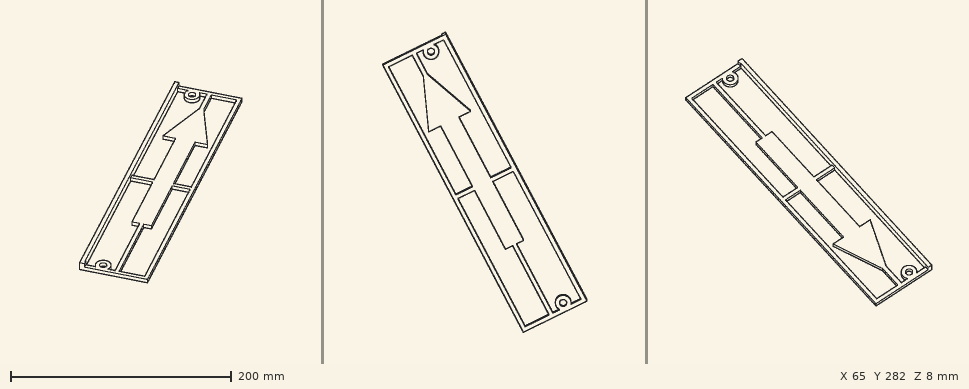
import cadquery as cq

width = 65.0
length = 282.0
height = 8.0
plate_thickness = 4.0
bar_width = 4.0
tip_strut_width = 4.2
lip_width = 4.8
left_lean = 0.7

arrow_x = 34.7
shaft_width = 18.5
shaft_bottom_y = -64.0
head_width = 43.0
head_base_y = 66.0
head_tip_y = 120.0

eye_diameter = 14.5
eye_hole_diameter = 6.5
eye_x = 20.0
top_eye_y = 132.3
bottom_eye_y = -132.8


def block(x_min, x_max, y_min, y_max):
    """Box as thick as the plate between the given X and Y limits."""
    size_x = x_max - x_min
    size_y = y_max - y_min
    return cq.Workplane("XY").box(size_x, size_y, plate_thickness, centered=False).translate((x_min, y_min, 0))


def slab(corners, thickness):
    """Polygon drawn on Z = 0 and raised to the given thickness."""
    return cq.Workplane("XY").polyline(corners).close().extrude(thickness)


def make_frame():
    """Plate and raised lip with one large window cut through both."""
    end_y = length / 2
    window_y = end_y - bar_width
    window_right = width - bar_width
    plate = slab([(0, -end_y), (width, -end_y), (width, end_y), (left_lean, end_y)], plate_thickness)
    lip = slab([(0, -end_y), (lip_width, -end_y), (lip_width, end_y), (left_lean, end_y)], height)
    window = slab(
        [
            (lip_width - left_lean, -window_y),
            (window_right, -window_y),
            (window_right, window_y),
            (lip_width, window_y),
        ],
        height,
    )
    return plate.union(lip).cut(window)


def make_struts():
    """Bars that tie the arrow's tip, tail and middle to the frame."""
    half_bar = bar_width / 2
    half_tip = tip_strut_width / 2
    bar_center_y = length / 2 - half_bar
    tip_strut = block(arrow_x - half_tip, arrow_x + half_tip, head_base_y, bar_center_y)
    tail_strut = block(arrow_x - half_bar, arrow_x + half_bar, -bar_center_y, shaft_bottom_y)
    cross_strut = block(lip_width / 2, width - half_bar, -half_bar, half_bar)
    return tip_strut.union(tail_strut).union(cross_strut)


def make_arrow():
    """Rectangular shaft with a triangular head."""
    half_shaft = shaft_width / 2
    half_head = head_width / 2
    outline = [
        (arrow_x - half_shaft, shaft_bottom_y),
        (arrow_x + half_shaft, shaft_bottom_y),
        (arrow_x + half_shaft, head_base_y),
        (arrow_x + half_head, head_base_y),
        (arrow_x, head_tip_y),
        (arrow_x - half_head, head_base_y),
        (arrow_x - half_shaft, head_base_y),
    ]
    return slab(outline, plate_thickness)


def eye_discs(diameter):
    """Disc at each eye position, as thick as the plate."""
    centers = [(eye_x, bottom_eye_y), (eye_x, top_eye_y)]
    return cq.Workplane("XY").pushPoints(centers).circle(diameter / 2).extrude(plate_thickness)


result = (
    make_frame()
    .union(make_struts())
    .union(make_arrow())
    .union(eye_discs(eye_diameter))
    .cut(eye_discs(eye_hole_diameter))
)